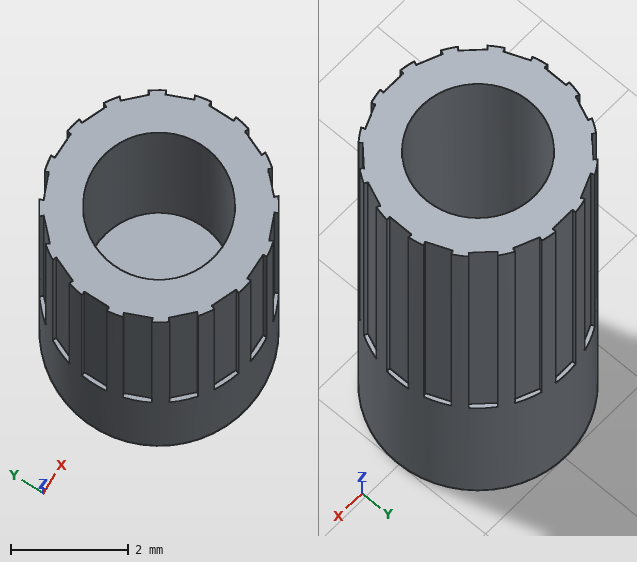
import cadquery as cq

outer_diameter = 4.1
total_height = 8.6
bottom_fillet = 0.15

bore_diameter = 2.6

groove_count = 16
groove_width = 0.5
groove_depth = 0.09
groove_length = 5.5

bore_depth = groove_length

outer_radius = outer_diameter / 2
groove_floor_radius = outer_radius - groove_depth
groove_end_z = total_height - groove_length


def make_body():
    """Solid cylinder with its bottom rim rounded."""
    body = cq.Workplane("XY").circle(outer_radius).extrude(total_height)
    return body.faces("<Z").edges().fillet(bottom_fillet)


def make_bore():
    """Cylinder that removes the blind bore."""
    bore = cq.Workplane("XY").workplane(offset=total_height - bore_depth)
    return bore.circle(bore_diameter / 2).extrude(bore_depth)


def make_groove(angle):
    """Box that cuts one flat-floored groove, at the given angle from +X."""
    radial_size = 2 * groove_depth
    groove = cq.Workplane("XY").box(
        radial_size, groove_width, groove_length, centered=(False, True, False)
    )
    groove = groove.translate((groove_floor_radius, 0, groove_end_z))
    return groove.rotate((0, 0, 0), (0, 0, 1), angle)


result = make_body().cut(make_bore())
for index in range(groove_count):
    result = result.cut(make_groove(index * 360 / groove_count))